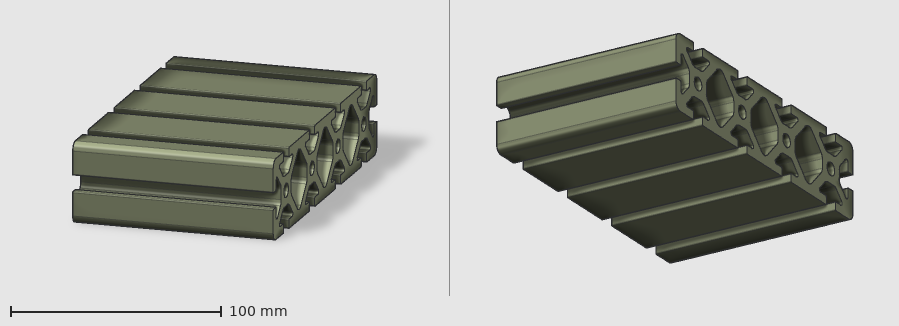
import cadquery as cq

cell = 40.0
cell_count = 4
length = 100.0
outer_radius = 4.0

slot_opening = 8.2
lip_thickness = 4.6
slot_depth = 12.3
lip_radius = 0.5
slot_tip_radius = 1.1
slot_floor_radius = 3.8

web_offset = 3.5

core_hole_diameter = 6.9

cavity_width = 24.6
cavity_tip_radius = 4.0
cavity_side_radius = 4.0

half_cell = cell / 2
cell_centers = [(i - (cell_count - 1) / 2) * cell for i in range(cell_count)]
cavity_centers = [y + half_cell for y in cell_centers[:-1]]


def make_prism(points):
    """Extrude a closed YZ outline over the whole length, centred on X = 0."""
    return cq.Workplane("YZ").polyline(points).close().extrude(length / 2, both=True)


def round_corners(prism, y, z, radius):
    """Fillet the long edges at (y, z) and at its mirror image (-y, z)."""
    for side in (-y, y):
        nearest = cq.selectors.NearestToPointSelector((0, side, z))
        prism = prism.edges("|X").edges(nearest).fillet(radius)
    return prism


def make_body():
    """Solid bar with rounded long edges."""
    bar = cq.Workplane("YZ").rect(cell * cell_count, cell).extrude(length / 2, both=True)
    return bar.edges("|X").fillet(outer_radius)


def make_lip_flare():
    """Cutter that rounds the outer edges of the two lips of a slot."""
    mouth = slot_opening / 2
    edge_y = mouth + lip_radius
    edge_z = half_cell - lip_radius
    return (
        cq.Workplane("YZ")
        .moveTo(-edge_y, half_cell)
        .lineTo(edge_y, half_cell)
        .radiusArc((mouth, edge_z), -lip_radius)
        .lineTo(-mouth, edge_z)
        .radiusArc((-edge_y, half_cell), -lip_radius)
        .close()
        .extrude(length / 2, both=True)
    )


def make_slot():
    """T-slot cutter for a cell centred on the origin, opening towards +Z."""
    mouth = slot_opening / 2
    lip_z = half_cell - lip_thickness
    floor_z = half_cell - slot_depth
    tip_y = lip_z - web_offset
    floor_y = floor_z - web_offset
    right_side = [(mouth, half_cell), (mouth, lip_z), (tip_y, lip_z), (floor_y, floor_z)]
    left_side = [(-y, z) for y, z in reversed(right_side)]
    slot = make_prism(right_side + left_side)
    slot = round_corners(slot, floor_y, floor_z, slot_floor_radius)
    slot = round_corners(slot, tip_y, lip_z, slot_tip_radius)
    slot = round_corners(slot, mouth, lip_z, lip_radius)
    return slot.union(make_lip_flare())


def make_cavity():
    """Cavity cutter centred on the origin."""
    side_y = cavity_width / 2
    tip_z = half_cell - web_offset
    side_z = tip_z - side_y
    cavity = make_prism(
        [
            (0, tip_z),
            (side_y, side_z),
            (side_y, -side_z),
            (0, -tip_z),
            (-side_y, -side_z),
            (-side_y, side_z),
        ]
    )
    for z in (-side_z, side_z):
        cavity = round_corners(cavity, side_y, z, cavity_side_radius)
    for z in (-tip_z, tip_z):
        tip = cq.selectors.NearestToPointSelector((0, 0, z))
        cavity = cavity.edges("|X").edges(tip).fillet(cavity_tip_radius)
    return cavity


def make_core_holes():
    """One through hole in the core of every cell."""
    holes = cq.Workplane("YZ").pushPoints([(y, 0) for y in cell_centers])
    return holes.circle(core_hole_diameter / 2).extrude(length / 2, both=True)


def place_slot(slot, angle, y):
    """Turn a slot about X, then move it to the cell centred at y."""
    return slot.rotate((0, 0, 0), (1, 0, 0), angle).translate((0, y, 0))


slot = make_slot()
cavity = make_cavity()

result = make_body().cut(make_core_holes())

for y in cell_centers:
    for angle in (0, 180):
        result = result.cut(place_slot(slot, angle, y))

result = result.cut(place_slot(slot, 90, cell_centers[0]))
result = result.cut(place_slot(slot, -90, cell_centers[-1]))

for y in cavity_centers:
    result = result.cut(cavity.translate((0, y, 0)))